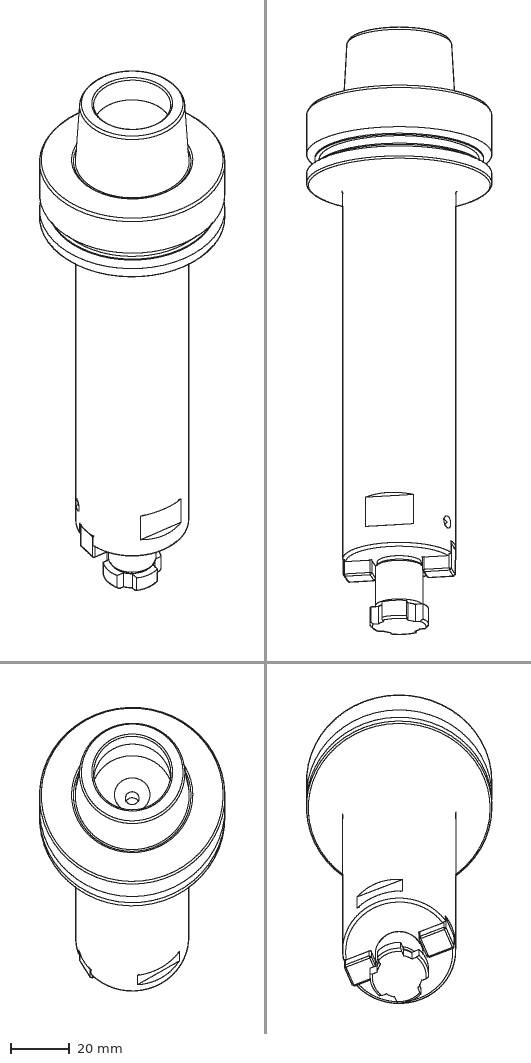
import cadquery as cq
import math


TOTAL_HEIGHT = 208.0
CHAMFER = 0.6
EDGE_BREAK_RUN = 0.6
EDGE_BREAK_RISE = 1.0

TAPER_HEIGHT = 25.0
TAPER_TOP_RADIUS = 17.9
TAPER_BASE_RADIUS = 19.1
COLLAR_RADIUS = 19.3
COLLAR_HEIGHT = 1.9
COLLAR_STEP = 1.0
RELIEF_RADIUS = 20.5
RELIEF_DEPTH = 0.6

BORE_RADIUS = 13.0
BORE_DEPTH = 25.0
BORE_UNDERCUT_RADIUS = 14.0
BORE_UNDERCUT_DEPTH = 9.4

PASSAGE_MOUTH_RADIUS = 6.0
PASSAGE_RADIUS = 2.3
PASSAGE_DEPTH = 10.5

FLANGE_DIAMETER = 63.0
FLANGE_HEIGHT = 26.0
UPPER_RIM_HEIGHT = 15.0
LOWER_RIM_HEIGHT = 4.2
GROOVE_RADIUS = 27.2
GROOVE_LIP_RADIUS = 28.7
GROOVE_LIP_HEIGHT = 0.5
GROOVE_SLOPE_HEIGHT = 1.5

BODY_DIAMETER = 38.5
BODY_FILLET = 3.0
BODY_BOTTOM_Z = 22.9
BODY_CHAMFER = 1.0

FLATS_ACROSS = 34.7
FLAT_BOTTOM_Z = 30.8
FLAT_HEIGHT = 10.5
FLAT_WALL_FLARE = 0.6

SPIGOT_RADIUS = 8.1
NECK_RADIUS = 7.5
NECK_HEIGHT = 1.2

HEAD_HEIGHT = 6.2
HEAD_RADIUS = 10.0
HEAD_HUB_RADIUS = 7.7
HEAD_ARM_WIDTH = 8.5
HEAD_CHAMFER = 0.8

KEY_WIDTH = 8.3
KEY_HEIGHT = 10.2
KEY_BOTTOM_Z = 17.9
KEY_INNER_Y = 8.7
KEY_OUTER_Y = 18.7

SIDE_HOLE_RADIUS = 2.0
SIDE_HOLE_X = -6.7
SIDE_HOLE_Z = 34.1
SIDE_HOLE_DEPTH = 1.7
SIDE_POINT_RADIUS = 1.5

flange_radius = FLANGE_DIAMETER / 2
body_radius = BODY_DIAMETER / 2
flange_top_z = TOTAL_HEIGHT - TAPER_HEIGHT
flange_bottom_z = flange_top_z - FLANGE_HEIGHT
key_length = KEY_OUTER_Y - KEY_INNER_Y


def revolve_about_z(profile):
    return profile.close().revolve(360, (0, 0, 0), (0, 1, 0))


def make_turned_body():
    """Taper, flange, body and spigot as one revolved outline, from the bottom up."""
    neck_bottom_z = BODY_BOTTOM_Z - NECK_HEIGHT
    lower_slope_z = flange_bottom_z + LOWER_RIM_HEIGHT
    lower_lip_z = lower_slope_z + GROOVE_SLOPE_HEIGHT
    groove_bottom_z = lower_lip_z + GROOVE_LIP_HEIGHT
    upper_slope_z = flange_top_z - UPPER_RIM_HEIGHT
    upper_lip_z = upper_slope_z - GROOVE_SLOPE_HEIGHT
    groove_top_z = upper_lip_z - GROOVE_LIP_HEIGHT
    relief_floor_z = flange_top_z - RELIEF_DEPTH
    collar_top_z = flange_top_z + COLLAR_HEIGHT
    fillet_sag = BODY_FILLET * (1 - math.sqrt(0.5))
    outline = (
        cq.Workplane("XZ")
        .moveTo(0, HEAD_HEIGHT)
        .lineTo(SPIGOT_RADIUS - EDGE_BREAK_RUN, HEAD_HEIGHT)
        .lineTo(SPIGOT_RADIUS, HEAD_HEIGHT + EDGE_BREAK_RISE)
        .lineTo(SPIGOT_RADIUS, neck_bottom_z - CHAMFER)
        .lineTo(NECK_RADIUS, neck_bottom_z)
        .lineTo(NECK_RADIUS, BODY_BOTTOM_Z)
        .lineTo(body_radius - BODY_CHAMFER, BODY_BOTTOM_Z)
        .lineTo(body_radius, BODY_BOTTOM_Z + BODY_CHAMFER)
        .lineTo(body_radius, flange_bottom_z - BODY_FILLET)
        .threePointArc(
            (body_radius + fillet_sag, flange_bottom_z - fillet_sag),
            (body_radius + BODY_FILLET, flange_bottom_z),
        )
        .lineTo(flange_radius - CHAMFER, flange_bottom_z)
        .lineTo(flange_radius, flange_bottom_z + CHAMFER)
        .lineTo(flange_radius, lower_slope_z)
        .lineTo(GROOVE_LIP_RADIUS, lower_lip_z)
        .lineTo(GROOVE_LIP_RADIUS, groove_bottom_z)
        .lineTo(GROOVE_RADIUS, groove_bottom_z)
        .lineTo(GROOVE_RADIUS, groove_top_z)
        .lineTo(GROOVE_LIP_RADIUS, groove_top_z)
        .lineTo(GROOVE_LIP_RADIUS, upper_lip_z)
        .lineTo(flange_radius, upper_slope_z)
        .lineTo(flange_radius, flange_top_z - EDGE_BREAK_RISE)
        .lineTo(flange_radius - EDGE_BREAK_RUN, flange_top_z)
        .lineTo(RELIEF_RADIUS, flange_top_z)
        .lineTo(RELIEF_RADIUS - RELIEF_DEPTH, relief_floor_z)
        .lineTo(COLLAR_RADIUS, relief_floor_z)
        .lineTo(COLLAR_RADIUS, collar_top_z - COLLAR_STEP)
        .lineTo(TAPER_BASE_RADIUS, collar_top_z)
        .lineTo(TAPER_TOP_RADIUS, TOTAL_HEIGHT - EDGE_BREAK_RISE)
        .lineTo(TAPER_TOP_RADIUS - EDGE_BREAK_RUN, TOTAL_HEIGHT)
        .lineTo(0, TOTAL_HEIGHT)
    )
    return revolve_about_z(outline)


def make_bore():
    """Cutter for the undercut bore and the coolant passage below it."""
    floor_z = TOTAL_HEIGHT - BORE_DEPTH
    undercut_z = TOTAL_HEIGHT - BORE_UNDERCUT_DEPTH
    countersink_depth = PASSAGE_MOUTH_RADIUS - PASSAGE_RADIUS
    passage_bottom_z = floor_z - PASSAGE_DEPTH
    outline = (
        cq.Workplane("XZ")
        .moveTo(0, TOTAL_HEIGHT)
        .lineTo(BORE_RADIUS + CHAMFER, TOTAL_HEIGHT)
        .lineTo(BORE_RADIUS, TOTAL_HEIGHT - CHAMFER)
        .lineTo(BORE_RADIUS, undercut_z)
        .lineTo(BORE_UNDERCUT_RADIUS, undercut_z)
        .lineTo(BORE_UNDERCUT_RADIUS, floor_z)
        .lineTo(PASSAGE_MOUTH_RADIUS, floor_z)
        .lineTo(PASSAGE_RADIUS, floor_z - countersink_depth)
        .lineTo(PASSAGE_RADIUS, passage_bottom_z)
        .lineTo(0, passage_bottom_z)
    )
    return revolve_about_z(outline)


def make_flat_cutter(side):
    """Cutter for one wrench flat; its end walls flare outward. side is -1 or 1."""
    flat_x = side * FLATS_ACROSS / 2
    outer_x = side * body_radius
    flat_top_z = FLAT_BOTTOM_Z + FLAT_HEIGHT
    return (
        cq.Workplane("XZ")
        .moveTo(flat_x, FLAT_BOTTOM_Z)
        .lineTo(outer_x, FLAT_BOTTOM_Z - FLAT_WALL_FLARE)
        .lineTo(outer_x, flat_top_z + FLAT_WALL_FLARE)
        .lineTo(flat_x, flat_top_z)
        .close()
        .extrude(body_radius, both=True)
    )


def make_side_hole():
    """Cutter for the blind side hole along Y, leaving a cone on its floor."""
    surface_y = -math.sqrt(body_radius**2 - SIDE_HOLE_X**2)
    floor_y = surface_y + SIDE_HOLE_DEPTH
    outer_y = -body_radius
    return (
        cq.Workplane("XY")
        .moveTo(0, outer_y)
        .lineTo(SIDE_HOLE_RADIUS, outer_y)
        .lineTo(SIDE_HOLE_RADIUS, floor_y)
        .lineTo(SIDE_POINT_RADIUS, floor_y)
        .lineTo(0, floor_y - SIDE_POINT_RADIUS)
        .close()
        .revolve(360, (0, 0, 0), (0, 1, 0))
        .translate((SIDE_HOLE_X, 0, SIDE_HOLE_Z))
    )


def make_head():
    """Round hub with four straight arms, rounded and chamfered at their ends."""
    hub = cq.Workplane("XY").circle(HEAD_HUB_RADIUS).extrude(HEAD_HEIGHT)
    disc = cq.Workplane("XY").circle(HEAD_RADIUS).extrude(HEAD_HEIGHT)
    disc = disc.faces("<Z").chamfer(HEAD_CHAMFER)
    bar_x = cq.Workplane("XY").rect(2 * HEAD_RADIUS, HEAD_ARM_WIDTH).extrude(HEAD_HEIGHT)
    bar_y = cq.Workplane("XY").rect(HEAD_ARM_WIDTH, 2 * HEAD_RADIUS).extrude(HEAD_HEIGHT)
    return hub.union(disc.intersect(bar_x.union(bar_y)))


def make_key_box(side, length):
    """Key-sized box reaching outward from the key's inner face. side is -1 or 1."""
    center_y = side * (KEY_INNER_Y + length / 2)
    center_z = KEY_BOTTOM_Z + KEY_HEIGHT / 2
    return cq.Workplane("XY").box(KEY_WIDTH, length, KEY_HEIGHT).translate((0, center_y, center_z))


def make_key(side):
    return make_key_box(side, key_length).edges().chamfer(CHAMFER)


def make_key_slot(side):
    return make_key_box(side, body_radius - KEY_INNER_Y)


def make_holder():
    holder = make_turned_body().union(make_head())
    holder = holder.cut(make_bore()).cut(make_side_hole())
    for side in (-1, 1):
        holder = holder.cut(make_flat_cutter(side)).cut(make_key_slot(side))
    return holder


holder = make_holder()
drive_keys = [make_key(side) for side in (-1, 1)]

result = cq.Compound.makeCompound([holder.val(), *[key.val() for key in drive_keys]])